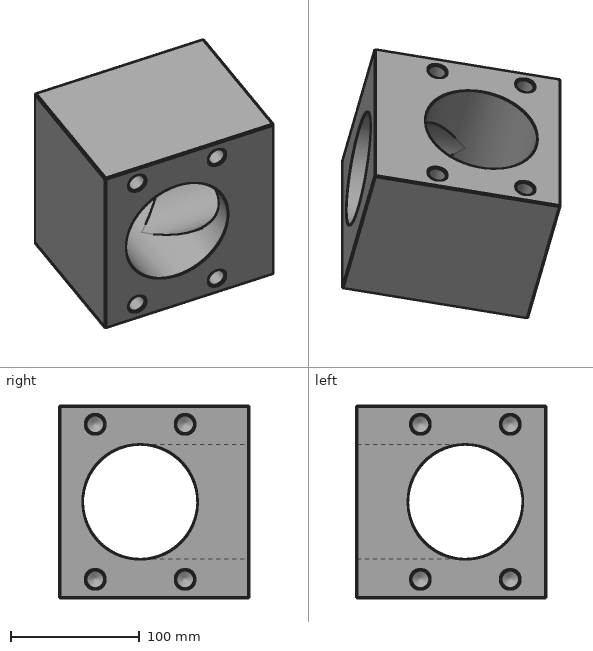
import cadquery as cq
import math

LENGTH_X = 120.0
LENGTH_Y = 148.0
LENGTH_Z = 150.0
EDGE_CHAMFER = 1.0

BORE_DIAMETER = 89.0
BORE_CHAMFER = 0.5
BORE_OFFSET_Y = -11.0

BOLT_SPACING_Y = 69.9
BOLT_SPACING_Z = 120.6
BOLT_HOLE_DIAMETER = 14.0
BOLT_MOUTH_DIAMETER = 16.0
BOLT_HOLE_DEPTH = 30.0
DRILL_POINT_ANGLE = 118.0


def revolved_tool(profile, face_center, outward):
    """Solid of revolution from (radius, depth) points, sunk into a face against its outward normal."""
    tool_plane = cq.Plane(origin=face_center, xDir=(0, 0, 1), normal=outward)
    tool = cq.Workplane("XZ").polyline(profile).close().revolve(360, (0, 0, 0), (0, 1, 0))
    return cq.Workplane(tool.val().moved(cq.Location(tool_plane)))


def bore_tool(face_center, outward, depth):
    """Bore of the given depth with a chamfered mouth."""
    radius = BORE_DIAMETER / 2
    profile = [
        (0, 0),
        (radius + BORE_CHAMFER, 0),
        (radius, -BORE_CHAMFER),
        (radius, -depth),
        (0, -depth),
    ]
    return revolved_tool(profile, face_center, outward)


def bolt_hole_tool(face_center, outward):
    """Blind drilled hole with a 45 degree countersunk mouth and a conical bottom."""
    radius = BOLT_HOLE_DIAMETER / 2
    mouth_radius = BOLT_MOUTH_DIAMETER / 2
    point_length = radius / math.tan(math.radians(DRILL_POINT_ANGLE / 2))
    profile = [
        (0, 0),
        (mouth_radius, 0),
        (radius, radius - mouth_radius),
        (radius, -BOLT_HOLE_DEPTH),
        (0, -BOLT_HOLE_DEPTH - point_length),
    ]
    return revolved_tool(profile, face_center, outward)


block = cq.Workplane("XY").box(LENGTH_X, LENGTH_Y, LENGTH_Z).edges().chamfer(EDGE_CHAMFER)

for direction in (-1, 1):
    outward = (direction, 0, 0)
    face_x = direction * LENGTH_X / 2
    block = block.cut(bore_tool((face_x, BORE_OFFSET_Y, 0), outward, LENGTH_X / 2))
    for side in (-1, 1):
        for level in (-1, 1):
            hole_y = BORE_OFFSET_Y + side * BOLT_SPACING_Y / 2
            hole_z = level * BOLT_SPACING_Z / 2
            block = block.cut(bolt_hole_tool((face_x, hole_y, hole_z), outward))

branch_depth = LENGTH_Y / 2 - BORE_OFFSET_Y
block = block.cut(bore_tool((0, LENGTH_Y / 2, 0), (0, 1, 0), branch_depth))

result = block